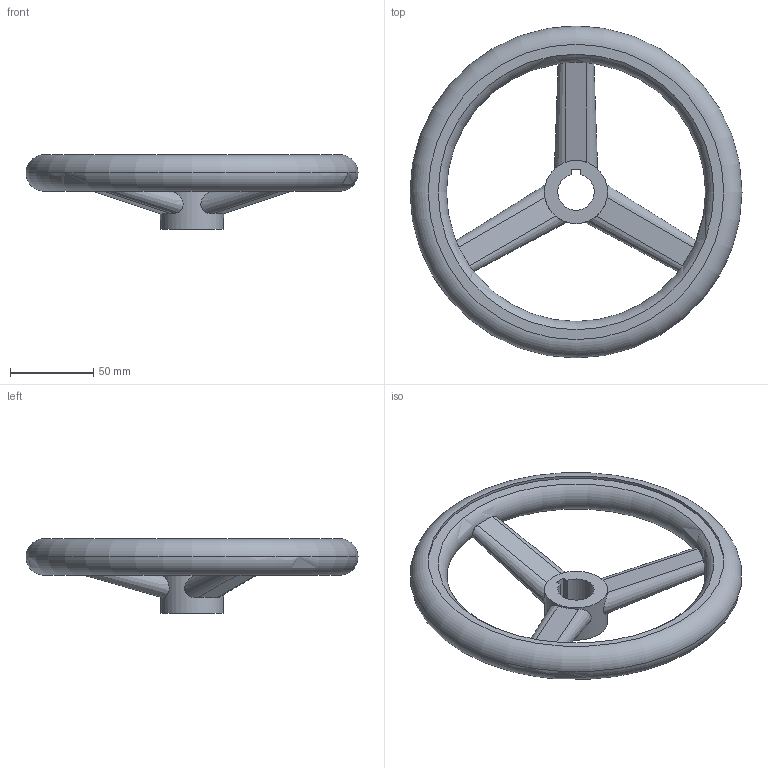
import cadquery as cq
import math

outer_radius = 100.0
rim_section_radius = 11.0
rim_center_radius = outer_radius - rim_section_radius
rim_mid_z = -rim_section_radius

ledge_inner_radius = 83.0

hub_radius = 19.0
hub_bottom_z = -45.0
hub_height = 24.0
bore_radius = 11.0
key_width = 6.0
key_depth = 2.8

spoke_count = 3
spoke_flat_width = 12.8
spoke_axis_z_at_center = -33.3
spoke_side_radius_at_rim = 4.0
spoke_taper_angle = 2.0
spoke_start_radius = 12.0


def make_rim():
    """Round ring with a flat, stepped ledge on its inner top side."""
    ring = (
        cq.Workplane("YZ")
        .center(rim_center_radius, rim_mid_z)
        .circle(rim_section_radius)
        .revolve(360, (-rim_center_radius, 0), (-rim_center_radius, 1))
    )
    ledge_offset = rim_center_radius - ledge_inner_radius
    ledge_z = rim_mid_z + math.sqrt(rim_section_radius**2 - ledge_offset**2)
    ledge_cutter = cq.Workplane("XY", origin=(0, 0, ledge_z)).circle(rim_center_radius).extrude(-ledge_z)
    return ring.cut(ledge_cutter)


def make_hub():
    """Plain cylindrical hub, dropped below the rim."""
    return cq.Workplane("XY", origin=(0, 0, hub_bottom_z)).circle(hub_radius).extrude(hub_height)


def make_spoke():
    """Tapered spoke towards +Y, rising from the hub to the middle of the rim section."""
    axis_slope = (rim_mid_z - spoke_axis_z_at_center) / rim_center_radius
    axis_direction = (0, 1, axis_slope)
    spoke_length = math.hypot(1, axis_slope) * (rim_center_radius - spoke_start_radius)
    start_side_radius = spoke_side_radius_at_rim + spoke_length * math.tan(math.radians(spoke_taper_angle))
    start_z = spoke_axis_z_at_center + axis_slope * spoke_start_radius
    start_plane = cq.Plane((0, spoke_start_radius, start_z), (1, 0, 0), axis_direction)
    return (
        cq.Workplane(start_plane)
        .slot2D(spoke_flat_width + 2 * start_side_radius, 2 * start_side_radius)
        .workplane(offset=spoke_length)
        .slot2D(spoke_flat_width + 2 * spoke_side_radius_at_rim, 2 * spoke_side_radius_at_rim)
        .loft(ruled=True)
    )


def make_bore():
    """Through bore with a keyway on the +Y side."""
    bore_plane = cq.Workplane("XY", origin=(0, 0, hub_bottom_z))
    key_reach = bore_radius + key_depth
    keyway = bore_plane.center(0, key_reach / 2).rect(key_width, key_reach).extrude(hub_height)
    return bore_plane.circle(bore_radius).extrude(hub_height).union(keyway)


result = make_rim().union(make_hub())
spoke = make_spoke()
for index in range(spoke_count):
    result = result.union(spoke.rotate((0, 0, 0), (0, 0, 1), index * 360 / spoke_count))
result = result.cut(make_bore())